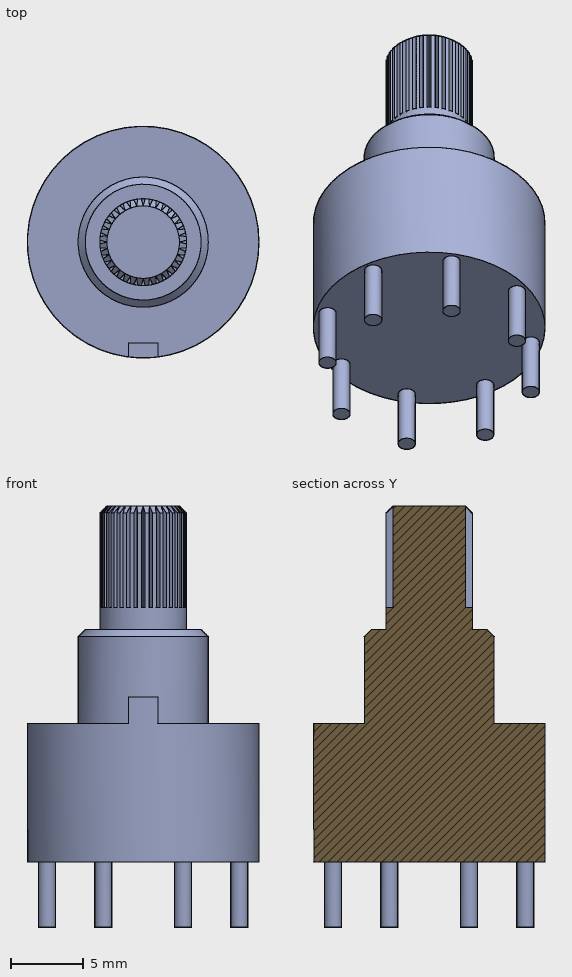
import cadquery as cq

total_height = 29.1
pin_length = 4.5
body_height = 9.57
bushing_height = 6.5
body_top = pin_length + body_height
bushing_top = body_top + bushing_height

body_radius = 16.0 / 2
bushing_radius = 9.0 / 2
shaft_radius = 6.0 / 2
edge_chamfer = 0.5

tab_width = 2.05
tab_depth = 1.05
tab_height = 1.83

pin_count = 8
pin_radius = 1.2 / 2
pin_circle_radius = 7.2
pin_pitch_angle = 360 / pin_count

serration_count = 36
serration_pitch_angle = 360 / serration_count
serration_depth = 0.5
serration_width = 0.25
plain_shaft_length = 1.5
serration_bottom = bushing_top + plain_shaft_length


def cylinder(radius, bottom, top):
    return cq.Workplane("XY").workplane(offset=bottom).circle(radius).extrude(top - bottom)


def locating_tab():
    """Square-sided tab whose outer face follows the body's rim."""
    block_height = body_height + tab_height
    block = cq.Workplane("XY").box(tab_width, tab_depth, block_height, centered=(True, False, False))
    block = block.translate((0, -body_radius, pin_length))
    return block.intersect(cylinder(body_radius, pin_length, body_top + tab_height))


def terminal_pins():
    """Pins placed half a pitch away from the X and Y axes."""
    return (
        cq.Workplane("XY")
        .polarArray(pin_circle_radius, pin_pitch_angle / 2, 360, pin_count)
        .circle(pin_radius)
        .extrude(pin_length)
    )


def serrated_shaft():
    """Shaft with a chamfered end and V grooves that run out through the chamfer."""
    shaft = cylinder(shaft_radius, bushing_top, total_height)
    shaft = shaft.faces(">Z").edges().chamfer(edge_chamfer)

    opening_scale = 2
    groove_root = shaft_radius - serration_depth
    opening_radius = groove_root + opening_scale * serration_depth
    half_opening = opening_scale * serration_width / 2
    groove = (
        cq.Workplane("XY")
        .workplane(offset=serration_bottom)
        .moveTo(groove_root, 0)
        .lineTo(opening_radius, half_opening)
        .lineTo(opening_radius, -half_opening)
        .close()
        .extrude(total_height - serration_bottom)
        .val()
    )
    axis_start = cq.Vector(0, 0, 0)
    axis_end = cq.Vector(0, 0, 1)
    grooves = [
        groove.rotate(axis_start, axis_end, index * serration_pitch_angle)
        for index in range(serration_count)
    ]
    return cq.Workplane(shaft.val().cut(*grooves))


body = cylinder(body_radius, pin_length, body_top)
bushing = cylinder(bushing_radius, body_top, bushing_top).faces(">Z").edges().chamfer(edge_chamfer)

result = (
    body
    .union(locating_tab())
    .union(bushing)
    .union(serrated_shaft())
    .union(terminal_pins())
)